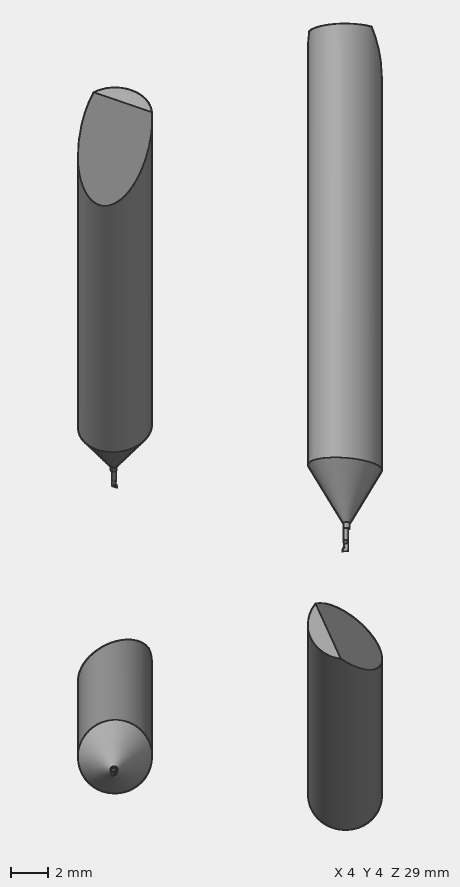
import cadquery as cq
import math

TOTAL_LENGTH = 29.0
SHANK_DIAMETER = 4.0
SHANK_RADIUS = SHANK_DIAMETER / 2

FLAT_ANGLE = 30.0
FLAT_DEPTH = 3.0
FLAT_HEIGHT = FLAT_DEPTH / math.tan(math.radians(FLAT_ANGLE))

TIP_AXIS_X = -0.1
TAPER_HALF_ANGLE = 30.0
TAPER_END_RADIUS = 0.2
TAPER_END_Z = 1.57

COLLAR_RADIUS = 0.17
NECK_START_Z = 1.25
NECK_RADIUS = 0.13
NECK_AXIS_X = -0.044
NECK_AXIS_Y = -0.03
TOOTH_REACH_X = 0.17
TOOTH_HEIGHT = 0.23
TOOTH_DEPTH = 0.1
TOOTH_EDGE_HEIGHT = 0.1
END_RELIEF = 0.1

RAKE_FACE_Y = -0.05
RAKE_TOP_Z = 0.44
RAKE_RUNOUT_Z = 0.7


def make_shank():
    """Cylinder trimmed by an off-axis cone below and a slanted flat above."""
    cylinder = (
        cq.Workplane("XY")
        .workplane(offset=TAPER_END_Z)
        .circle(SHANK_RADIUS)
        .extrude(TOTAL_LENGTH - TAPER_END_Z)
    )
    envelope_radius = SHANK_DIAMETER
    envelope_rise = (envelope_radius - TAPER_END_RADIUS) / math.tan(math.radians(TAPER_HALF_ANGLE))
    envelope = (
        cq.Workplane("XZ")
        .moveTo(0, TAPER_END_Z)
        .lineTo(TAPER_END_RADIUS, TAPER_END_Z)
        .lineTo(envelope_radius, TAPER_END_Z + envelope_rise)
        .lineTo(envelope_radius, TOTAL_LENGTH)
        .lineTo(0, TOTAL_LENGTH)
        .close()
        .revolve(360, (0, 0, 0), (0, 1, 0))
        .translate((TIP_AXIS_X, 0, 0))
    )
    flat_cut = (
        cq.Workplane("YZ")
        .moveTo(-SHANK_RADIUS, TOTAL_LENGTH)
        .lineTo(-SHANK_RADIUS, TOTAL_LENGTH - FLAT_HEIGHT)
        .lineTo(FLAT_DEPTH - SHANK_RADIUS, TOTAL_LENGTH)
        .close()
        .extrude(SHANK_RADIUS, both=True)
    )
    return cylinder.intersect(envelope).cut(flat_cut)


def make_tooth():
    """Pointed tooth reaching out of the neck toward +X, behind the rake face."""
    return (
        cq.Workplane("XZ", origin=(0, RAKE_FACE_Y, 0))
        .moveTo(NECK_AXIS_X, 0)
        .lineTo(TOOTH_REACH_X, 0)
        .lineTo(TOOTH_REACH_X, TOOTH_EDGE_HEIGHT)
        .lineTo(NECK_AXIS_X + NECK_RADIUS, TOOTH_HEIGHT)
        .lineTo(NECK_AXIS_X, TOOTH_HEIGHT)
        .close()
        .extrude(TOOTH_DEPTH)
    )


def make_cutting_tip():
    """Collar and neck with a cut-away lower end carrying the tooth."""
    collar = (
        cq.Workplane("XY", origin=(TIP_AXIS_X, 0, NECK_START_Z))
        .circle(COLLAR_RADIUS)
        .extrude(TAPER_END_Z - NECK_START_Z)
    )
    neck = (
        cq.Workplane("XY", origin=(NECK_AXIS_X, NECK_AXIS_Y, 0))
        .circle(NECK_RADIUS)
        .extrude(NECK_START_Z)
    )
    rake_cut = (
        cq.Workplane("YZ")
        .moveTo(RAKE_FACE_Y, 0)
        .lineTo(RAKE_FACE_Y, RAKE_TOP_Z)
        .lineTo(COLLAR_RADIUS, RAKE_RUNOUT_Z)
        .lineTo(COLLAR_RADIUS, 0)
        .close()
        .extrude(SHANK_RADIUS, both=True)
    )
    relief_cut = (
        cq.Workplane("YZ")
        .moveTo(RAKE_FACE_Y, 0)
        .lineTo(NECK_AXIS_Y - NECK_RADIUS, END_RELIEF)
        .lineTo(NECK_AXIS_Y - NECK_RADIUS, 0)
        .close()
        .extrude(SHANK_RADIUS, both=True)
    )
    blank = collar.union(neck).union(make_tooth())
    return blank.cut(rake_cut).cut(relief_cut)


shank = make_shank()
cutting_tip = make_cutting_tip()

result = cq.Compound.makeCompound([*shank.solids().vals(), *cutting_tip.solids().vals()])